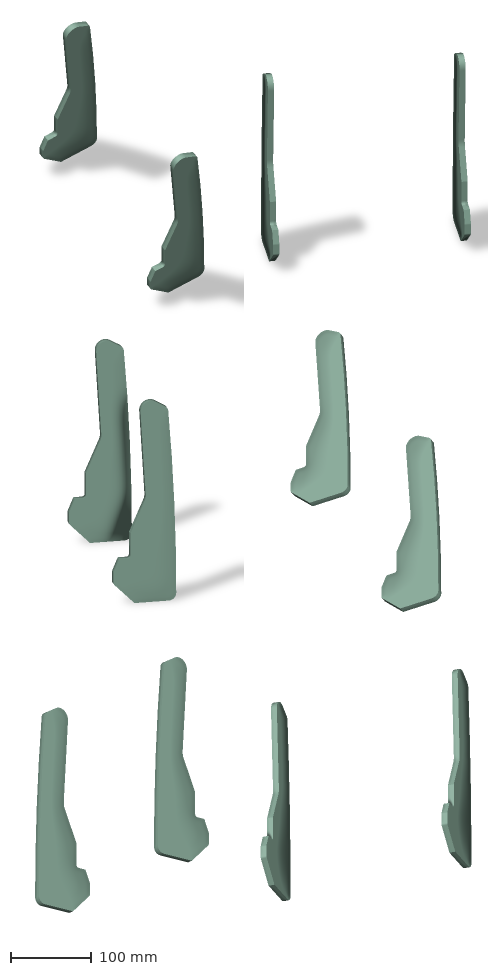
import cadquery as cq
import math

overall_width = 250.0
overall_depth = 80.0
overall_height = 262.8
plate_thickness = 8.0

head_top_forward = 32.3
head_front_radius = 13.1
head_rear_radius = 11.8
head_slope = math.radians(30)
front_lean = math.radians(3.5)
head_back_forward = 10.5

waist_height = 136.0
wall_forward = 58.3
wall_top_height = 91.5
shelf_height = 58.9
shelf_end_forward = 72.8
nose_top_height = 42.0
bottom_chamfer = 26.5

bottom_radius = 9.5
head_back_radius = 6.5
waist_radius = 18.5
shelf_radius = 4.0
nose_radius = 4.0


def profile_point(forward, height):
    """Point on the YZ plane, with the back edge at +Y and the part centred in Y."""
    return (overall_depth / 2 - forward, height)


def head_point(radius, angle):
    """Forward distance and height on a head arc, angle counted up from straight forward."""
    return (
        head_top_forward + radius * math.cos(angle),
        overall_height - radius + radius * math.sin(angle),
    )


def back_arc(end_forward, end_height):
    """Middle and end of the long back arc, vertical where it leaves the bottom corner round."""
    rise = end_height - bottom_radius
    radius = (rise**2 + end_forward**2) / (2 * end_forward)
    half_sweep = math.asin(rise / radius) / 2
    middle = profile_point(
        radius * (1 - math.cos(half_sweep)),
        bottom_radius + radius * math.sin(half_sweep),
    )
    return middle, profile_point(end_forward, end_height)


def round_corner(plate, corner, radius):
    """Round the edge through the plate thickness at one profile corner."""
    nearest = cq.selectors.NearestToPointSelector((plate_thickness / 2, *corner))
    return plate.edges("|X").edges(nearest).fillet(radius)


def make_plate(x_start):
    """One lever-shaped plate whose -X face lies at x_start."""
    slope_forward, slope_height = head_point(head_rear_radius, math.pi / 2 + head_slope)
    front_forward, front_height = head_point(head_front_radius, -front_lean)
    head_back_height = slope_height - (slope_forward - head_back_forward) * math.tan(head_slope)
    waist_forward = front_forward - (front_height - waist_height) * math.tan(front_lean)

    head_back = profile_point(head_back_forward, head_back_height)
    waist = profile_point(waist_forward, waist_height)
    shelf_inner = profile_point(wall_forward, shelf_height)
    nose_top = profile_point(overall_depth, nose_top_height)
    nose_bottom = profile_point(overall_depth, bottom_chamfer)
    bottom_round_middle = bottom_radius * (1 - math.sqrt(0.5))

    plate = (
        cq.Workplane("YZ")
        .moveTo(*profile_point(0, bottom_radius))
        .threePointArc(*back_arc(head_back_forward, head_back_height))
        .lineTo(*profile_point(slope_forward, slope_height))
        .threePointArc(
            profile_point(*head_point(head_rear_radius, math.pi / 2 + head_slope / 2)),
            profile_point(head_top_forward, overall_height),
        )
        .threePointArc(
            profile_point(*head_point(head_front_radius, math.pi / 4)),
            profile_point(front_forward, front_height),
        )
        .lineTo(*waist)
        .lineTo(*profile_point(wall_forward, wall_top_height))
        .lineTo(*shelf_inner)
        .lineTo(*profile_point(shelf_end_forward, shelf_height))
        .lineTo(*nose_top)
        .lineTo(*nose_bottom)
        .lineTo(*profile_point(overall_depth - bottom_chamfer, 0))
        .lineTo(*profile_point(bottom_radius, 0))
        .threePointArc(
            profile_point(bottom_round_middle, bottom_round_middle),
            profile_point(0, bottom_radius),
        )
        .close()
        .extrude(plate_thickness)
    )

    corner_rounds = [
        (head_back, head_back_radius),
        (waist, waist_radius),
        (shelf_inner, shelf_radius),
        (nose_top, nose_radius),
        (nose_bottom, nose_radius),
    ]
    for corner, radius in corner_rounds:
        plate = round_corner(plate, corner, radius)
    return plate.translate((x_start, 0, 0))


plate_starts = [-overall_width / 2, overall_width / 2 - plate_thickness]
plates = [make_plate(x_start) for x_start in plate_starts]

result = cq.Compound.makeCompound([plate.solids().val() for plate in plates])